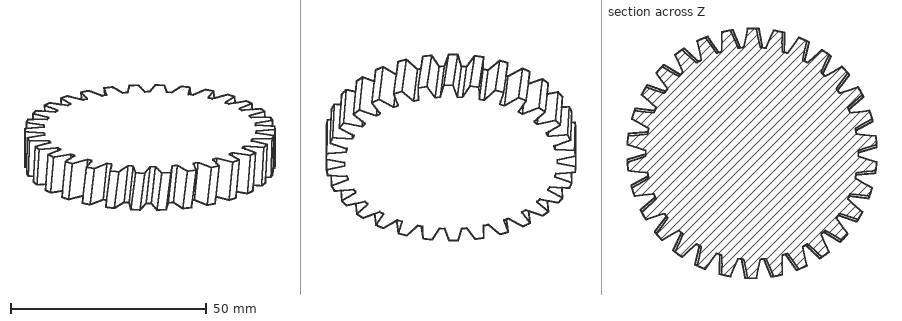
import cadquery as cq
import math

tooth_count = 30
tip_radius = 32.0
root_radius = 27.2
face_width = 10.1
tip_angle = 4.2
root_angle = 9.2
twist_angle = 2.2

tooth_pitch = 360 / tooth_count
first_tooth_angle = 90 - twist_angle / 2


def polar(radius, angle):
    """Point at the given radius and angle in degrees."""
    return (radius * math.cos(math.radians(angle)), radius * math.sin(math.radians(angle)))


def gear_outline():
    """Closed outline of the bottom face: straight flanks, with arcs along the tips and roots."""
    outline = cq.Workplane("XY").moveTo(*polar(root_radius, first_tooth_angle - root_angle / 2))
    for tooth in range(tooth_count):
        middle = first_tooth_angle + tooth * tooth_pitch
        gap_middle = middle + tooth_pitch / 2
        next_root = middle + tooth_pitch - root_angle / 2
        outline = outline.lineTo(*polar(tip_radius, middle - tip_angle / 2))
        outline = outline.threePointArc(polar(tip_radius, middle), polar(tip_radius, middle + tip_angle / 2))
        outline = outline.lineTo(*polar(root_radius, middle + root_angle / 2))
        outline = outline.threePointArc(polar(root_radius, gap_middle), polar(root_radius, next_root))
    return outline.close()


result = gear_outline().twistExtrude(face_width, twist_angle)